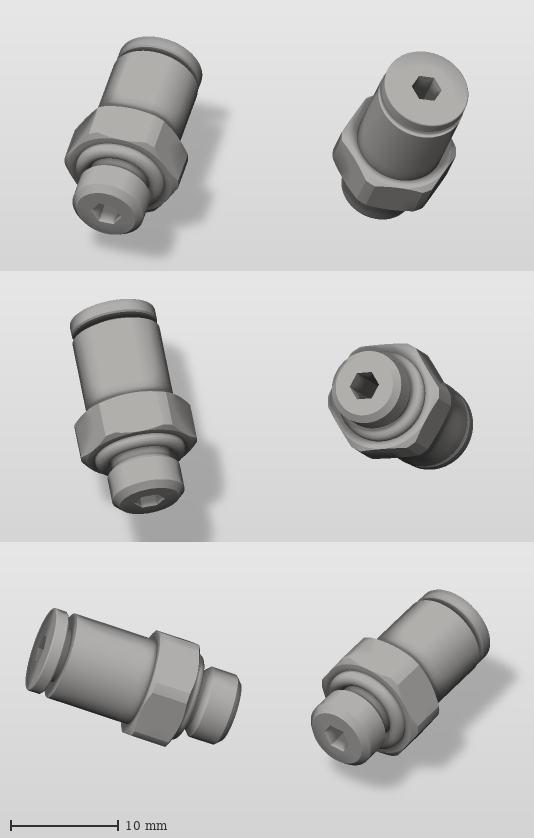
import cadquery as cq
import math

total_length = 19.0

thread_radius = 3.44
groove_radius = 2.83
tip_chamfer = thread_radius - groove_radius
thread_end = 3.0
groove_start = thread_end + tip_chamfer

seal_start = 4.07
seal_radius = 4.25
seal_round = (seal_radius - groove_radius) / 2

nut_start = 5.0
nut_end = 9.0
nut_across_flats = 10.0
nut_across_corners = 11.0
nut_corner_radius = nut_across_corners / 2
nut_face_radius = 4.98
nut_chamfer_angle = 30.0

body_radius = 4.15
body_end = 16.99
neck_radius = 2.6
collar_start = 17.7
collar_radius = 4.05
collar_chamfer = 0.15
collar_rounding = 0.15

passage_across_flats = 2.5

middle = total_length / 2


def revolved(profile):
    """Turn a closed (radius, Y) profile about the Y axis."""
    return profile.close().revolve(360, (0, 0, 0), (0, 1, 0))


def cylinder(radius, start, end):
    return revolved(
        cq.Workplane("XY")
        .moveTo(0, start)
        .lineTo(radius, start)
        .lineTo(radius, end)
        .lineTo(0, end)
    )


def hex_bar(across_flats, start, end):
    """Hexagonal bar along Y with two of its corners on the X axis."""
    corner_diameter = across_flats / math.cos(math.radians(30))
    return cq.Workplane("XZ", origin=(0, start, 0)).polygon(6, corner_diameter).extrude(start - end)


def threaded_end():
    return revolved(
        cq.Workplane("XY")
        .lineTo(groove_radius, 0)
        .lineTo(thread_radius, tip_chamfer)
        .lineTo(thread_radius, thread_end)
        .lineTo(groove_radius, groove_start)
        .lineTo(groove_radius, middle)
        .lineTo(0, middle)
    )


def seal():
    """O-ring whose half-round front spans from the groove to the seal's outer radius."""
    return revolved(
        cq.Workplane("XY")
        .moveTo(groove_radius, nut_start)
        .lineTo(groove_radius, seal_start + seal_round)
        .threePointArc(
            (groove_radius + seal_round, seal_start),
            (seal_radius, seal_start + seal_round),
        )
        .lineTo(seal_radius, nut_start)
    )


def nut():
    chamfer_length = (nut_corner_radius - nut_face_radius) * math.tan(math.radians(nut_chamfer_angle))
    envelope = revolved(
        cq.Workplane("XY")
        .moveTo(0, nut_start)
        .lineTo(nut_face_radius, nut_start)
        .lineTo(nut_corner_radius, nut_start + chamfer_length)
        .lineTo(nut_corner_radius, nut_end - chamfer_length)
        .lineTo(nut_face_radius, nut_end)
        .lineTo(0, nut_end)
    )
    return hex_bar(nut_across_flats, nut_start, nut_end).intersect(envelope)


def collar():
    disc = cylinder(collar_radius, collar_start, total_length)
    disc = disc.faces("<Y").edges().chamfer(collar_chamfer)
    return disc.faces(">Y").edges().fillet(collar_rounding)


body = cylinder(body_radius, nut_end, body_end)
neck = cylinder(neck_radius, middle, collar_start)

result = (
    threaded_end()
    .union(seal())
    .union(nut())
    .union(body)
    .union(neck)
    .union(collar())
    .cut(hex_bar(passage_across_flats, 0, total_length))
)